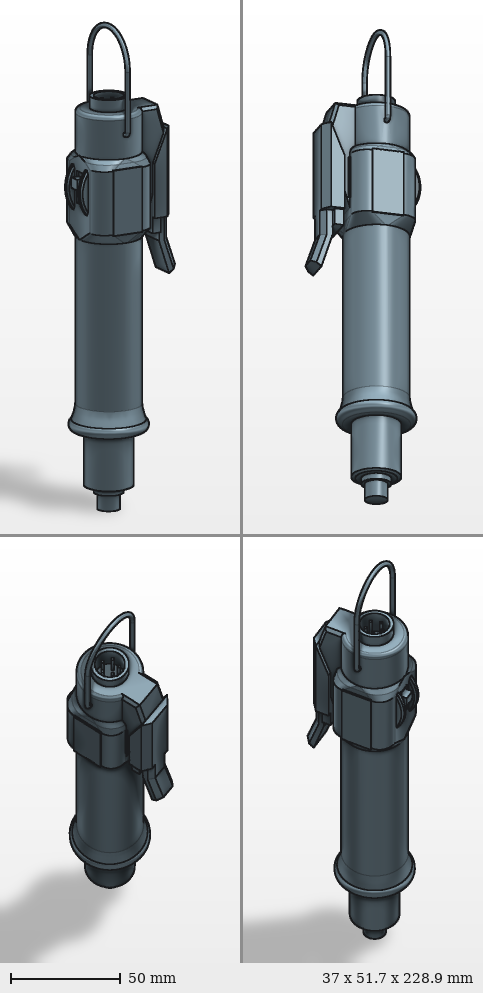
import cadquery as cq
import math


overall_height = 228.9

tip_radius = 5.3
tip_top = 7.8
tip_collar_radius = 6.9
tip_collar_top = 10.5
nose_radius = 11.5
nose_end_radius = 9.5
nose_chamfer_height = 0.7
flange_bottom = 37.0
flange_bottom_radius = 15.5
flange_radius = 18.3
flange_widest_height = 40.7
flare_bottom_radius = 17.2
flare_bottom = 42.3
flare_top = 50.0
flare_hollow = 0.35
grip_radius = 15.3
cap_radius = grip_radius
cap_top = 189.3
cap_edge_fillet = 2.0

housing_bottom = 128.8
housing_top = 168.7
housing_half_x = 17.2
housing_corner_radius = 7.8
shoulder_bend = 166.8
shoulder_bend_half_x = 16.2
shoulder_bend_radius = 11.5
front_face_thickness = 1.1
shoulder_tip_angle = math.radians(2)
lower_shoulder_height = 5.3
upper_shoulder_height = 4.5
side_pad_half_x = 17.9
side_pad_width = 14.9
side_pad_bottom = 133.7
side_pad_top = 164.5
back_pad_reach = 16.0
back_pad_bottom = 143.0

ridge_offset = 6.2
ridge_width = 3.5
ridge_bottom = 142.0
ridge_top = 163.2
ridge_front = -19.0
ridge_chamfer = 1.0
switch_width = 5.3
window_bottom = 145.8
window_top = 161.0
window_floor = -14.2
knob_bottom = 153.0
knob_top = 158.1
knob_front = -18.0

socket_radius = 8.7
socket_bore_radius = 6.9
socket_top = 195.0
socket_depth = 11.5
pin_count = 5
pin_circle_radius = 4.1
pin_radius = 0.7
pin_recess = 2.0

wire_radius = 1.1
loop_outer_radius = 18.5
loop_elbow_radius = 1.5
loop_elbow_height = 181.7
loop_end_x = 13.7

post_width = 16.7
post_top_back = 21.7
post_front = 9.2
post_back = 25.0
post_slope_bottom = 178.3
post_edge_chamfer = 1.5
cheek_width = 20.4
cheek_front = 18.3
cheek_front_top = 162.5
cheek_bottom = 136.9
lever_back = 28.1
lever_flat_width = 12.0
neck_bottom = 137.5
neck_foot = 15.0
neck_slope_top = 147.8
stop_back = 22.7
stop_bottom = 129.3
arm_width = 12.4
arm_front = 23.0
arm_edge_chamfer = 2.5
arm_bend_back = 125.2
arm_bend_front = 124.7
arm_tip_back = (32.7, 112.0)
arm_tip_front = (28.1, 108.7)


def cylinder(radius, bottom, top):
    return cq.Workplane("XY").workplane(offset=bottom).circle(radius).extrude(top - bottom)


def box(width, y_range, z_range):
    """Block centred on X between the given Y and Z limits."""
    depth = y_range[1] - y_range[0]
    height = z_range[1] - z_range[0]
    block = cq.Workplane("XY").box(width, depth, height, centered=(True, False, False))
    return block.translate((0, y_range[0], z_range[0]))


def side_plate(points, width):
    """Plate with a Y-Z outline, centred on X."""
    return cq.Workplane("YZ").polyline(points).close().extrude(width / 2, both=True)


def make_body():
    """Tip, nose, flared flange and grip turned as one profile, then the filleted cap."""
    flare_middle = (
        (grip_radius + flare_bottom_radius) / 2 - flare_hollow,
        (flare_bottom + flare_top) / 2,
    )
    turned = (
        cq.Workplane("XZ")
        .moveTo(0, 0)
        .lineTo(tip_radius, 0)
        .lineTo(tip_radius, tip_top)
        .lineTo(tip_collar_radius, tip_top)
        .lineTo(tip_collar_radius, tip_collar_top)
        .lineTo(nose_end_radius, tip_collar_top)
        .lineTo(nose_radius, tip_collar_top + nose_chamfer_height)
        .lineTo(nose_radius, flange_bottom)
        .lineTo(flange_bottom_radius, flange_bottom)
        .threePointArc((flange_radius, flange_widest_height), (flare_bottom_radius, flare_bottom))
        .threePointArc(flare_middle, (grip_radius, flare_top))
        .lineTo(grip_radius, housing_top)
        .lineTo(0, housing_top)
        .close()
        .revolve(360, (0, 0, 0), (0, 1, 0))
    )
    cap = cylinder(cap_radius, housing_top, cap_top).faces(">Z").edges().fillet(cap_edge_fillet)
    return turned.union(cap)


def rounded_outline(half_x, half_y, flat_x, flat_y, corner, height):
    """Wire of four straight sides joined by four corner arcs, starting on the -Y side."""
    return (
        cq.Workplane("XY")
        .workplane(offset=height)
        .moveTo(-flat_x, -half_y)
        .lineTo(flat_x, -half_y)
        .threePointArc((corner[0], -corner[1]), (half_x, -flat_y))
        .lineTo(half_x, flat_y)
        .threePointArc(corner, (flat_x, half_y))
        .lineTo(-flat_x, half_y)
        .threePointArc((-corner[0], corner[1]), (-half_x, flat_y))
        .lineTo(-half_x, -flat_y)
        .threePointArc((-corner[0], -corner[1]), (-flat_x, -half_y))
        .wire()
        .val()
    )


def make_housing():
    """Rounded box with shoulders that run out to the round grip, and a flat pad on each side."""

    def grip_outline(height):
        diagonal = grip_radius * math.sqrt(0.5)
        near_axis = grip_radius * math.sin(shoulder_tip_angle)
        far = grip_radius * math.cos(shoulder_tip_angle)
        return rounded_outline(far, far, near_axis, near_axis, (diagonal, diagonal), height)

    def box_outline(half_x, radius, height):
        flat_x = half_x - radius
        flat_y = grip_radius - radius
        diagonal = radius * math.sqrt(0.5)
        corner = (flat_x + diagonal, flat_y + diagonal)
        return rounded_outline(half_x, grip_radius, flat_x, flat_y, corner, height)

    def shell(*outlines):
        return cq.Workplane(cq.Solid.makeLoft(outlines, True))

    lower = housing_bottom + lower_shoulder_height
    upper = housing_top - upper_shoulder_height
    bend_outline = box_outline(shoulder_bend_half_x, shoulder_bend_radius, shoulder_bend)
    lower_outline = box_outline(housing_half_x, housing_corner_radius, lower)
    upper_outline = box_outline(housing_half_x, housing_corner_radius, upper)
    housing = (
        shell(grip_outline(housing_bottom), lower_outline)
        .union(shell(lower_outline, upper_outline))
        .union(shell(upper_outline, bend_outline))
        .union(shell(bend_outline, grip_outline(housing_top)))
    )

    flat_half_x = housing_half_x - housing_corner_radius
    bend_half_x = shoulder_bend_half_x - shoulder_bend_radius
    front_face = (
        cq.Workplane("XZ", origin=(0, -grip_radius, 0))
        .polyline(
            [
                (0, housing_bottom),
                (flat_half_x, lower),
                (flat_half_x, upper),
                (bend_half_x, shoulder_bend),
                (0, housing_top),
                (-bend_half_x, shoulder_bend),
                (-flat_half_x, upper),
                (-flat_half_x, lower),
            ]
        )
        .close()
        .extrude(-front_face_thickness)
    )
    side_pads = box(
        2 * side_pad_half_x,
        (-side_pad_width / 2, side_pad_width / 2),
        (side_pad_bottom, side_pad_top),
    )
    back_pad = box(2 * flat_half_x, (0, back_pad_reach), (back_pad_bottom, cheek_front_top))
    return housing.union(front_face).union(side_pads).union(back_pad)


def make_ridge(x):
    """Arched guard ridge with chamfered crest edges."""
    middle = (ridge_bottom + ridge_top) / 2
    arch = (
        cq.Workplane("YZ")
        .moveTo(-grip_radius, ridge_bottom)
        .threePointArc((ridge_front, middle), (-grip_radius, ridge_top))
        .close()
        .extrude(ridge_width / 2, both=True)
        .edges("%CIRCLE")
        .chamfer(ridge_chamfer)
    )
    root = box(ridge_width, (-grip_radius, 0), (ridge_bottom, ridge_top))
    return arch.union(root).translate((x, 0, 0))


def make_switch_window():
    """Space of the recessed window the switch knob slides in."""
    return box(switch_width, (-grip_radius, window_floor), (window_bottom, window_top))


def make_switch_knob():
    """Square knob standing out of the window."""
    return box(switch_width, (knob_front, window_floor), (knob_bottom, knob_top))


def make_pins():
    """Contact pins on a circle inside the socket, one of them toward -Y."""
    return (
        cq.Workplane("XY")
        .workplane(offset=socket_top - socket_depth)
        .polarArray(pin_circle_radius, -90, 360, pin_count)
        .circle(pin_radius)
        .extrude(socket_depth - pin_recess)
    )


def make_loop():
    """Round wire: two elbows out of the cap, straight legs and a half circle on top."""
    leg_x = loop_outer_radius - wire_radius
    arc_height = overall_height - loop_outer_radius
    elbow_x = leg_x - loop_elbow_radius
    end_height = loop_elbow_height - loop_elbow_radius
    diagonal = loop_elbow_radius * math.sqrt(0.5)
    path = (
        cq.Workplane("XZ")
        .moveTo(-loop_end_x, end_height)
        .lineTo(-elbow_x, end_height)
        .threePointArc((-elbow_x - diagonal, loop_elbow_height - diagonal), (-leg_x, loop_elbow_height))
        .lineTo(-leg_x, arc_height)
        .threePointArc((0, arc_height + leg_x), (leg_x, arc_height))
        .lineTo(leg_x, loop_elbow_height)
        .threePointArc((elbow_x + diagonal, loop_elbow_height - diagonal), (elbow_x, end_height))
        .lineTo(loop_end_x, end_height)
    )
    return (
        cq.Workplane("YZ", origin=(-loop_end_x, 0, end_height))
        .circle(wire_radius)
        .sweep(path)
    )


def make_bracket():
    """Post behind the cap, wider cheeks with a bevelled back, neck to the housing and a stop block."""
    slope_middle = ((post_top_back + post_back) / 2, (cap_top + post_slope_bottom) / 2)
    post = side_plate(
        [
            (post_front, cap_top),
            (post_top_back, cap_top),
            (post_back, post_slope_bottom),
            (post_back, neck_slope_top),
            (cheek_front, neck_slope_top),
            (neck_foot, neck_bottom),
            (post_front, neck_bottom),
        ],
        post_width,
    )
    outer_edges = (
        post.edges(cq.selectors.NearestToPointSelector((post_width / 2, *slope_middle)))
        .add(post.edges(cq.selectors.NearestToPointSelector((-post_width / 2, *slope_middle))))
        .add(post.faces(">Z").edges("|Y"))
    )
    post = outer_edges.chamfer(post_edge_chamfer)
    cheeks = side_plate(
        [
            (post_back, post_slope_bottom),
            (lever_back, post_slope_bottom),
            (lever_back, cheek_bottom),
            (cheek_front, cheek_bottom),
            (cheek_front, cheek_front_top),
        ],
        cheek_width,
    )
    cheek_section = (
        cq.Workplane("XY")
        .workplane(offset=cheek_bottom)
        .polyline(
            [
                (-cheek_width / 2, 0),
                (-cheek_width / 2, post_back),
                (-lever_flat_width / 2, lever_back),
                (lever_flat_width / 2, lever_back),
                (cheek_width / 2, post_back),
                (cheek_width / 2, 0),
            ]
        )
        .close()
        .extrude(cap_top - cheek_bottom)
    )
    stop = box(post_width, (cheek_front, stop_back), (stop_bottom, cheek_bottom))
    return post.union(cheeks.intersect(cheek_section)).union(stop)


def make_arm():
    """Finger arm below the cheeks, bent outward, with bevelled outer edges."""
    arm = side_plate(
        [
            (lever_back, cheek_bottom),
            (lever_back, arm_bend_back),
            arm_tip_back,
            arm_tip_front,
            (arm_front, arm_bend_front),
            (arm_front, cheek_bottom),
        ],
        arm_width,
    )
    straight_middle = (lever_back, (cheek_bottom + arm_bend_back) / 2)
    bent_middle = ((lever_back + arm_tip_back[0]) / 2, (arm_bend_back + arm_tip_back[1]) / 2)
    outer_edges = arm.newObject([])
    for x in (-arm_width / 2, arm_width / 2):
        for middle in (straight_middle, bent_middle):
            outer_edges = outer_edges.add(arm.edges(cq.selectors.NearestToPointSelector((x, *middle))))
    return outer_edges.chamfer(arm_edge_chamfer)


result = make_body().union(make_housing())
for ridge_x in (-ridge_offset, ridge_offset):
    result = result.union(make_ridge(ridge_x))
result = result.cut(make_switch_window()).union(make_switch_knob())
result = result.union(make_bracket()).union(make_arm()).union(make_loop())
result = result.union(cylinder(socket_radius, cap_top, socket_top))
result = result.cut(cylinder(socket_bore_radius, socket_top - socket_depth, socket_top))
result = result.union(make_pins())